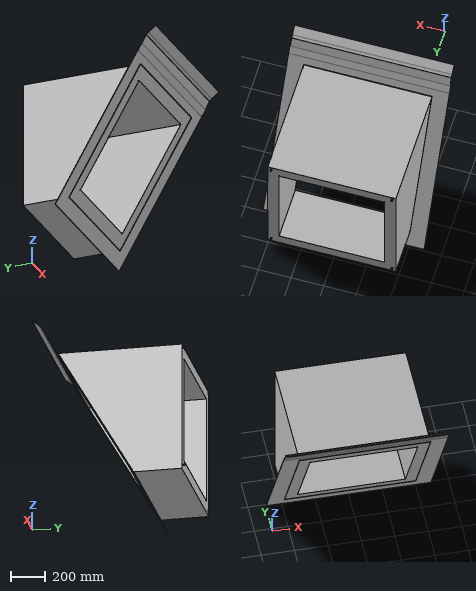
import cadquery as cq
import math

plate_width = 986.0
sheet = 2.0
slant_angle = 60.0
plate_foot_y = 635.0
upper_width = 978.0
narrowing_height = 959.0

lower_bend_height = 908.0
lower_bend_y = plate_foot_y - lower_bend_height / math.tan(math.radians(slant_angle))
upper_bend = (86.0, 949.0)
lip_bend_start = (61.0, 999.0)
lip_bend_end = (46.0, 1012.0)
lip_tip_y = 0.0
total_height = 1052.0

duct_side = 785.0
opening_side = 644.0
opening_center_z = 474.0
duct_center_z = 473.0
duct_back_y = 881.0
duct_proud = 0.5

stud_spacing = 738.0
stud_center_z = duct_center_z + 7.0
stud_end_y = 894.0
collar_length = 6.0
cap_length = 2.0
collar_diameter = 10.0
neck_diameter = 4.0


def extrude_across(outline, width):
    """Extrude a YZ outline by the given width, centered on X = 0."""
    return cq.Workplane("YZ").polyline(outline).close().extrude(width / 2, both=True)


def slanted_y(height, offset=0.0):
    """Y of the slanted plane at a height, moved forward by a distance normal to it."""
    slant = math.radians(slant_angle)
    return plate_foot_y - height / math.tan(slant) - offset / math.sin(slant)


def make_plate():
    front = [
        (plate_foot_y, 0.0),
        (lower_bend_y, lower_bend_height),
        upper_bend,
        lip_bend_start,
        lip_bend_end,
        (lip_tip_y, total_height - sheet),
    ]
    shift_y = sheet * math.sin(math.radians(slant_angle))
    back = [(y + shift_y, z + sheet) for y, z in front[1:]]
    plate = extrude_across(front + back[::-1] + [(plate_foot_y + shift_y, 0.0)], plate_width)
    side_trim = (plate_width - upper_width) / 2
    trim_height = total_height - narrowing_height
    for side in (-1, 1):
        trim = cq.Workplane("XY").box(side_trim, plate_foot_y, trim_height, centered=(True, False, False))
        plate = plate.cut(trim.translate((side * (plate_width - side_trim) / 2, 0, narrowing_height)))
    return plate


def make_slanted_block(side):
    """Square block from the slanted plane to the back of the duct."""
    bottom = duct_center_z - side / 2
    top = duct_center_z + side / 2
    outline = [
        (slanted_y(bottom, duct_proud), bottom),
        (slanted_y(top, duct_proud), top),
        (duct_back_y, top),
        (duct_back_y, bottom),
    ]
    return extrude_across(outline, side)


def make_opening():
    return (
        cq.Workplane("XZ")
        .center(0, opening_center_z)
        .rect(opening_side, opening_side)
        .extrude(-stud_end_y)
    )


def make_stud(x, z):
    def cylinder(diameter, start_y, end_y):
        base = cq.Workplane("XZ", origin=(x, start_y, z))
        return base.circle(diameter / 2).extrude(start_y - end_y)

    stud = cylinder(neck_diameter, duct_back_y, stud_end_y)
    stud = stud.union(cylinder(collar_diameter, duct_back_y, duct_back_y + collar_length))
    return stud.union(cylinder(collar_diameter, stud_end_y - cap_length, stud_end_y))


result = make_plate().union(make_slanted_block(duct_side)).cut(make_opening())
for x_side in (-1, 1):
    for z_side in (-1, 1):
        stud_x = x_side * stud_spacing / 2
        stud_z = stud_center_z + z_side * stud_spacing / 2
        result = result.union(make_stud(stud_x, stud_z))